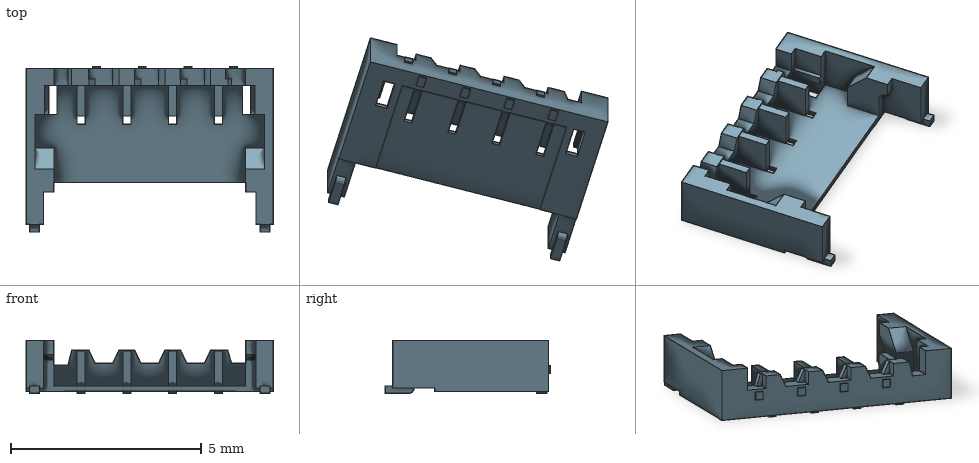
import cadquery as cq
import math


HALF_WIDTH = 3.25
TOP_Z = 1.4
BODY_BOTTOM_Z = 0.045
REAR_WALL_Y = -0.455
FLOOR_FRONT_Y = -3.0
FLOOR_TOP_Z = 0.2

ARM_INNER = 2.52
WINDOW_POCKET_INNER = 2.76
LATCH_POCKET_INNER = 3.015
ARM_TIP_INNER = 2.79
WINDOW_FRONT_Y = -1.21
LATCH_SLOPE_REAR_Y = -2.09
LATCH_SLOPE_FRONT_Y = -2.64
LATCH_FRONT_Y = -3.255
ARM_TIP_Y = -4.1
ARM_TIP_BOTTOM_Z = 0.135

UNDERCUT_REAR_Z = 0.885
UNDERCUT_FRONT_Z = 1.03
UNDERCUT_BOW = 0.01

WINDOW_INNER = 2.445
LEDGE_INNER = 2.65
LEDGE_BOTTOM_Z = 0.52
LEDGE_TOP_Z = 0.73

RELIEF_HALF_WIDTH = 2.25
RELIEF_DEPTH = 0.023

TOOTH_TOP_Z = 1.14
VALLEY_Z = 0.8
END_VALLEY_Z = 0.755
TOOTH_OUTER_BASE = 2.15
END_SLOPE_RUN = 0.1
INNER_SLOPE_RUN = 0.16
OUTER_TOOTH_INNER_TOP = 1.6
INNER_TOOTH_OUTER_TOP = 0.81
INNER_TOOTH_INNER_TOP = 0.395
NOTCH_DEPTH = 0.27
NOTCH_OFFSET = 0.195

CONTACT_COUNT = 4
CONTACT_PITCH = 1.2
CONTACT_WIDTH = 0.21
BLADE_BOTTOM_Z = 0.18
BLADE_TOP_Z = 1.12
BLADE_FRONT_Y = -1.255
SLOT_FRONT_Y = -1.46
FOOT_REAR_Y = -0.045
FOOT_FRONT_Y = -0.325
TAIL_OFFSET = 0.4
TAIL_LENGTH = 0.045
TAIL_BOTTOM_Z = 0.52
TAIL_TOP_Z = 0.735

TAB_INNER = 2.905
TAB_OUTER = 3.16
TAB_TOP_Z = 0.2
TAB_REAR_Y = -3.54
TAB_FRONT_Y = -4.3

CONTACT_XS = [(i - (CONTACT_COUNT - 1) / 2) * CONTACT_PITCH for i in range(CONTACT_COUNT)]


def block(x_range, y_range, z_range):
    """Axis-aligned box between the given limits, each in either order."""
    sizes = [abs(b - a) for a, b in (x_range, y_range, z_range)]
    corner = [min(limits) for limits in (x_range, y_range, z_range)]
    return cq.Workplane("XY").box(*sizes, centered=False).translate(tuple(corner))


def side_profile(x_start):
    """Workplane facing +X at x_start; its local axes are Y and Z."""
    return cq.Workplane("YZ").workplane(offset=x_start)


def make_arm():
    """Right-hand side arm with its pockets, latch block, ledge and hold-down tab."""
    plan = [
        (HALF_WIDTH, 0),
        (ARM_INNER, 0),
        (ARM_INNER, REAR_WALL_Y),
        (WINDOW_POCKET_INNER, REAR_WALL_Y),
        (WINDOW_POCKET_INNER, WINDOW_FRONT_Y),
        (LATCH_POCKET_INNER, WINDOW_FRONT_Y),
        (LATCH_POCKET_INNER, LATCH_SLOPE_REAR_Y),
        (ARM_INNER, LATCH_SLOPE_REAR_Y),
        (ARM_INNER, LATCH_FRONT_Y),
        (ARM_TIP_INNER, LATCH_FRONT_Y),
        (ARM_TIP_INNER, ARM_TIP_Y),
        (HALF_WIDTH, ARM_TIP_Y),
    ]
    arm = cq.Workplane("XY").workplane(offset=BODY_BOTTOM_Z)
    arm = arm.polyline(plan).close().extrude(TOP_Z - BODY_BOTTOM_Z)

    lead_in = LATCH_SLOPE_REAR_Y - LATCH_SLOPE_FRONT_Y
    slope = (
        side_profile(ARM_INNER)
        .polyline([
            (LATCH_SLOPE_FRONT_Y, TOP_Z),
            (LATCH_SLOPE_REAR_Y, TOP_Z),
            (LATCH_SLOPE_REAR_Y, TOP_Z - lead_in),
        ])
        .close()
        .extrude(LATCH_POCKET_INNER - ARM_INNER)
    )

    run = FLOOR_FRONT_Y - LATCH_FRONT_Y
    rise = UNDERCUT_FRONT_Z - UNDERCUT_REAR_Z
    chord = math.hypot(run, rise)
    roof_middle = (
        (FLOOR_FRONT_Y + LATCH_FRONT_Y) / 2 + UNDERCUT_BOW * rise / chord,
        (UNDERCUT_REAR_Z + UNDERCUT_FRONT_Z) / 2 + UNDERCUT_BOW * run / chord,
    )
    undercut = (
        side_profile(ARM_INNER)
        .moveTo(FLOOR_FRONT_Y, BODY_BOTTOM_Z)
        .lineTo(FLOOR_FRONT_Y, UNDERCUT_REAR_Z)
        .threePointArc(roof_middle, (LATCH_FRONT_Y, UNDERCUT_FRONT_Z))
        .lineTo(LATCH_FRONT_Y, BODY_BOTTOM_Z)
        .close()
        .extrude(ARM_TIP_INNER - ARM_INNER)
    )

    tip_relief = block(
        (ARM_INNER, HALF_WIDTH), (ARM_TIP_Y, FLOOR_FRONT_Y), (BODY_BOTTOM_Z, ARM_TIP_BOTTOM_Z)
    )
    ledge = block(
        (LEDGE_INNER, WINDOW_POCKET_INNER), (WINDOW_FRONT_Y, REAR_WALL_Y), (LEDGE_BOTTOM_Z, LEDGE_TOP_Z)
    )
    return arm.cut(slope).cut(undercut).cut(tip_relief).union(ledge).union(make_tab())


def make_tab():
    """Hold-down tab under the right arm tip, rounded at its rear lower edge."""
    bend = ARM_TIP_BOTTOM_Z
    arc_middle = (
        TAB_REAR_Y - bend * (1 - math.cos(math.pi / 4)),
        bend * (1 - math.sin(math.pi / 4)),
    )
    return (
        side_profile(TAB_INNER)
        .moveTo(TAB_REAR_Y, TAB_TOP_Z)
        .lineTo(TAB_REAR_Y, bend)
        .threePointArc(arc_middle, (TAB_REAR_Y - bend, 0))
        .lineTo(TAB_FRONT_Y, 0)
        .lineTo(TAB_FRONT_Y, TAB_TOP_Z)
        .close()
        .extrude(TAB_OUTER - TAB_INNER)
    )


def make_floor():
    """Floor plate with side windows and a shallow relief underneath."""
    half = LATCH_POCKET_INNER
    floor = block((-half, half), (FLOOR_FRONT_Y, 0), (BODY_BOTTOM_Z, FLOOR_TOP_Z))
    for side in (-1, 1):
        floor = floor.cut(block(
            (side * WINDOW_INNER, side * WINDOW_POCKET_INNER),
            (WINDOW_FRONT_Y, REAR_WALL_Y),
            (BODY_BOTTOM_Z, FLOOR_TOP_Z),
        ))
    return floor.cut(block(
        (-RELIEF_HALF_WIDTH, RELIEF_HALF_WIDTH),
        (FLOOR_FRONT_Y, REAR_WALL_Y),
        (BODY_BOTTOM_Z, BODY_BOTTOM_Z + RELIEF_DEPTH),
    ))


def make_rear_wall():
    """Rear wall with one tooth per contact, each notched behind its +X flank."""
    outer_top = TOOTH_OUTER_BASE - END_SLOPE_RUN
    right_half = [
        (INNER_TOOTH_INNER_TOP - INNER_SLOPE_RUN, VALLEY_Z),
        (INNER_TOOTH_INNER_TOP, TOOTH_TOP_Z),
        (INNER_TOOTH_OUTER_TOP, TOOTH_TOP_Z),
        (INNER_TOOTH_OUTER_TOP + INNER_SLOPE_RUN, VALLEY_Z),
        (OUTER_TOOTH_INNER_TOP - INNER_SLOPE_RUN, VALLEY_Z),
        (OUTER_TOOTH_INNER_TOP, TOOTH_TOP_Z),
        (outer_top, TOOTH_TOP_Z),
    ]
    left_half = [(-x, z) for x, z in reversed(right_half)]
    outline = [
        (-ARM_INNER, BODY_BOTTOM_Z),
        (-ARM_INNER, END_VALLEY_Z),
        (-TOOTH_OUTER_BASE, END_VALLEY_Z),
        *left_half,
        *right_half,
        (TOOTH_OUTER_BASE, VALLEY_Z),
        (ARM_INNER, VALLEY_Z),
        (ARM_INNER, BODY_BOTTOM_Z),
    ]
    wall = cq.Workplane("XZ").polyline(outline).close().extrude(-REAR_WALL_Y)

    notch_width = CONTACT_PITCH / 3
    for x in CONTACT_XS:
        notch_start = x + NOTCH_OFFSET
        wall = wall.cut(block(
            (notch_start, notch_start + notch_width), (-NOTCH_DEPTH, 0), (VALLEY_Z, TOOTH_TOP_Z)
        ))
    return wall


def across(x_centre):
    """X limits of a contact feature centred on x_centre."""
    return (x_centre - CONTACT_WIDTH / 2, x_centre + CONTACT_WIDTH / 2)


def add_contact(body, x):
    """Cut the floor slot at x under the blade, then add blade, solder foot and rear tail."""
    slot = block(across(x), (SLOT_FRONT_Y, REAR_WALL_Y), (BODY_BOTTOM_Z, FLOOR_TOP_Z))
    blade = block(across(x), (BLADE_FRONT_Y, REAR_WALL_Y), (BLADE_BOTTOM_Z, BLADE_TOP_Z))
    foot = block(across(x), (FOOT_FRONT_Y, FOOT_REAR_Y), (0, BODY_BOTTOM_Z))
    tail = block(across(x + TAIL_OFFSET), (0, TAIL_LENGTH), (TAIL_BOTTOM_Z, TAIL_TOP_Z))
    return body.cut(slot).union(blade).union(foot).union(tail)


right_arm = make_arm()
left_arm = right_arm.mirror("YZ")
result = make_floor().union(make_rear_wall()).union(right_arm).union(left_arm)
for contact_x in CONTACT_XS:
    result = add_contact(result, contact_x)